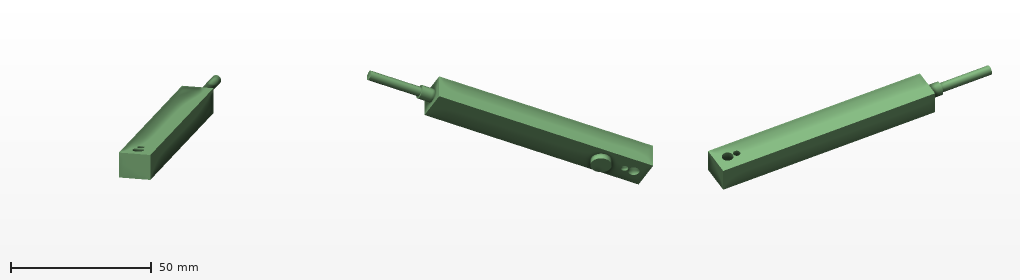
import cadquery as cq

body_width = 11.6
body_height = 9.3
body_length = 85.2

overall_length = 110.2
sleeve_diameter = 5.1
sleeve_length = 5.0
cable_diameter = 3.5
cable_length = overall_length - body_length - sleeve_length
cable_axis_height = 4.6

button_diameter = 7.6
button_height = 2.2
button_y = 17.9

large_hole_diameter = 4.2
large_hole_y = 4.8
small_hole_diameter = 2.6
small_hole_y = 8.5


def rear_cylinder(diameter, start_y, length):
    """Cylinder on the cable axis, running toward +Y from start_y."""
    direction = cq.Vector(0, 1, 0)
    start = cq.Vector(0, start_y, cable_axis_height)
    return cq.Workplane(cq.Solid.makeCylinder(diameter / 2, length, start, direction))


def through_hole(diameter, y):
    """Vertical cutter through the full body height."""
    return cq.Workplane("XY").center(0, y).circle(diameter / 2).extrude(body_height)


body = cq.Workplane("XY").box(body_width, body_length, body_height, centered=(True, False, False))
sleeve = rear_cylinder(sleeve_diameter, body_length, sleeve_length)
cable = rear_cylinder(cable_diameter, body_length + sleeve_length, cable_length)
button = cq.Workplane("XY").center(0, button_y).circle(button_diameter / 2).extrude(-button_height)

result = body.union(sleeve).union(cable).union(button)
result = result.cut(through_hole(large_hole_diameter, large_hole_y))
result = result.cut(through_hole(small_hole_diameter, small_hole_y))